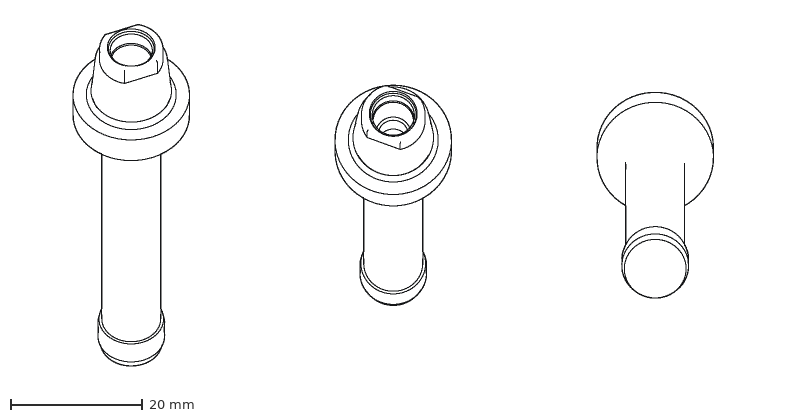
import cadquery as cq
import math

total_height = 71.45
shoulder_z = 68.6
taper_bottom_z = 60.95
flange_top_z = 60.0
flange_bottom_z = 55.0
collar_top_z = 5.65
collar_upper_edge_z = 4.6
collar_lower_edge_z = 1.5

head_radius = 4.85
taper_top_radius = 5.5
taper_bottom_radius = 6.15
flange_radius = 17.8 / 2
shaft_radius = 4.5
collar_radius = 10.2 / 2
collar_top_radius = 4.9
collar_bottom_radius = 4.7
collar_waist_depth = 0.1

across_flats = 8.1
head_rounding = 0.4
shoulder_rounding = 0.35

relief_neck_radius = 5.9
relief_neck_z = 60.3
relief_outer_radius = 6.85
relief_ramp_radius = 6.5
relief_ramp_depth = 0.15
relief_floor_radius = 6.15
relief_depth = 0.2

underside_angle = 20.0
shaft_fillet_radius = 2.0

hole_mouth_radius = 3.65
chamfer_radius = 3.5
chamfer_depth = 0.4
counterbore_radius = 3.2
lead_in_depth = 0.7
counterbore_depth = 3.0
step_radius = 3.1
step_depth = 3.2
bore_radius = 2.65
bore_depth = 8.6
drill_radius = 2.3
drill_start_depth = 9.0
drill_depth = 12.85
drill_half_angle = 59.0


def make_body():
    """Revolve the shaft, flange, taper and end collar."""
    slope = math.radians(underside_angle)
    middle_angle = (math.pi / 2 - slope) / 2
    tangent_length = shaft_fillet_radius * math.tan(middle_angle)
    corner_z = flange_bottom_z - (flange_radius - shaft_radius) * math.tan(slope)
    fillet_bottom = (shaft_radius, corner_z - tangent_length)
    fillet_top = (
        shaft_radius + tangent_length * math.cos(slope),
        corner_z + tangent_length * math.sin(slope),
    )
    fillet_middle = (
        shaft_radius + shaft_fillet_radius * (1 - math.cos(middle_angle)),
        fillet_bottom[1] + shaft_fillet_radius * math.sin(middle_angle),
    )
    collar_middle_z = (collar_lower_edge_z + collar_upper_edge_z) / 2
    collar_waist = (collar_radius - collar_waist_depth, collar_middle_z)
    relief_middle = (relief_floor_radius, flange_top_z - relief_depth)
    profile = (
        cq.Workplane("XZ")
        .moveTo(0, 0)
        .lineTo(collar_bottom_radius, 0)
        .lineTo(collar_radius, collar_lower_edge_z)
        .threePointArc(collar_waist, (collar_radius, collar_upper_edge_z))
        .lineTo(collar_top_radius, collar_top_z)
        .lineTo(shaft_radius, collar_top_z)
        .lineTo(*fillet_bottom)
        .threePointArc(fillet_middle, fillet_top)
        .lineTo(flange_radius, flange_bottom_z)
        .lineTo(flange_radius, flange_top_z)
        .lineTo(relief_outer_radius, flange_top_z)
        .lineTo(relief_ramp_radius, flange_top_z - relief_ramp_depth)
        .threePointArc(relief_middle, (relief_neck_radius, relief_neck_z))
        .lineTo(taper_bottom_radius, taper_bottom_z)
        .lineTo(taper_top_radius, shoulder_z)
        .lineTo(0, shoulder_z)
        .close()
    )
    body = profile.revolve(360, (0, 0, 0), (0, 1, 0))
    return body.faces(">Z").edges().fillet(shoulder_rounding)


def make_head():
    """Round drive head with two flats facing along X."""
    head_height = total_height - shoulder_z
    head = cq.Workplane("XY").workplane(offset=shoulder_z).circle(head_radius).extrude(head_height)
    flats = (
        cq.Workplane("XY")
        .workplane(offset=shoulder_z)
        .rect(across_flats, 2 * head_radius)
        .extrude(head_height)
    )
    return head.intersect(flats).faces(">Z").edges().fillet(head_rounding)


def make_hole():
    """Stepped hole with a chamfered mouth, a slightly tapered bore and a conical bottom."""
    tip_length = drill_radius / math.tan(math.radians(drill_half_angle))
    return (
        cq.Workplane("XZ")
        .moveTo(0, total_height)
        .lineTo(hole_mouth_radius, total_height)
        .lineTo(chamfer_radius, total_height - chamfer_depth)
        .lineTo(counterbore_radius, total_height - lead_in_depth)
        .lineTo(counterbore_radius, total_height - counterbore_depth)
        .lineTo(step_radius, total_height - step_depth)
        .lineTo(bore_radius, total_height - bore_depth)
        .lineTo(drill_radius, total_height - drill_start_depth)
        .lineTo(drill_radius, total_height - drill_depth)
        .lineTo(0, total_height - drill_depth - tip_length)
        .close()
        .revolve(360, (0, 0, 0), (0, 1, 0))
    )


result = make_body().union(make_head()).cut(make_hole())